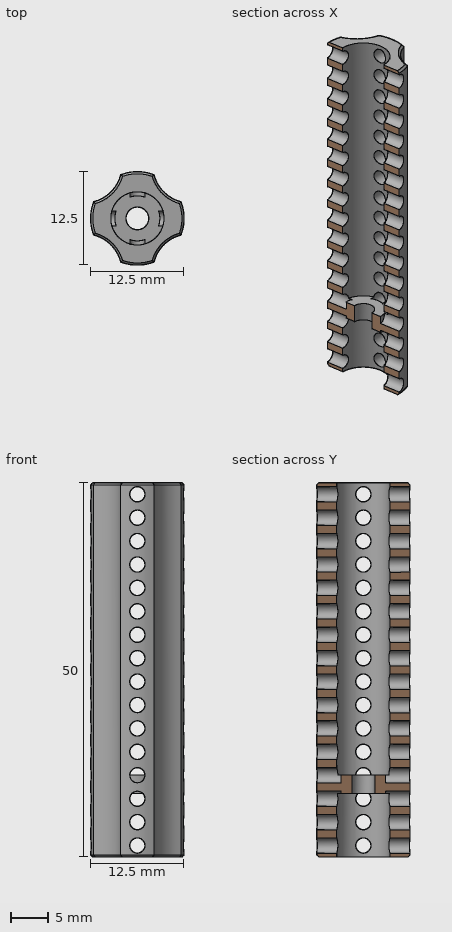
import cadquery as cq

length = 50.0
lobe_diameter = 12.5

flute_count = 4
flute_radius = 5.0
flute_floor_radius = 5.0
flute_axis_radius = flute_floor_radius + flute_radius
flute_start_angle = 45.0

end_chamfer = 0.3

bore_diameter = 7.1
partition_bottom = 8.5
partition_thickness = 2.5
partition_top = partition_bottom + partition_thickness
partition_core_diameter = 6.0
center_hole_diameter = 3.0

cross_hole_diameter = 2.0
cross_hole_count = 16
cross_hole_pitch = length / cross_hole_count
first_hole_height = cross_hole_pitch / 2


def vertical_cylinder(diameter, bottom, top):
    """Cylinder of the given diameter on the part axis between two heights."""
    return cq.Workplane("XY").workplane(offset=bottom).circle(diameter / 2).extrude(top - bottom)


def fluted_body():
    """Round bar with four lobes, chamfered at both ends."""
    flutes = (
        cq.Workplane("XY")
        .polarArray(flute_axis_radius, flute_start_angle, 360, flute_count)
        .circle(flute_radius)
        .extrude(length)
    )
    body = vertical_cylinder(lobe_diameter, 0, length).cut(flutes)
    return body.faces("<Z or >Z").chamfer(end_chamfer)


def cross_hole_row(plane_name):
    """Column of holes that runs right through the body, normal to the given plane."""
    heights = [first_hole_height + i * cross_hole_pitch for i in range(cross_hole_count)]
    return (
        cq.Workplane(plane_name)
        .pushPoints([(0, height) for height in heights])
        .circle(cross_hole_diameter / 2)
        .extrude(lobe_diameter, both=True)
    )


def core_ring():
    """Solid middle of the partition around the central hole."""
    core = vertical_cylinder(partition_core_diameter, partition_bottom, partition_top)
    return core.cut(vertical_cylinder(center_hole_diameter, partition_bottom, partition_top))


body = (
    fluted_body()
    .cut(vertical_cylinder(bore_diameter, 0, partition_bottom))
    .cut(vertical_cylinder(bore_diameter, partition_top, length))
    .cut(vertical_cylinder(center_hole_diameter, partition_bottom, partition_top))
)
for plane_name in ("XZ", "YZ"):
    body = body.cut(cross_hole_row(plane_name))

result = body.union(core_ring())